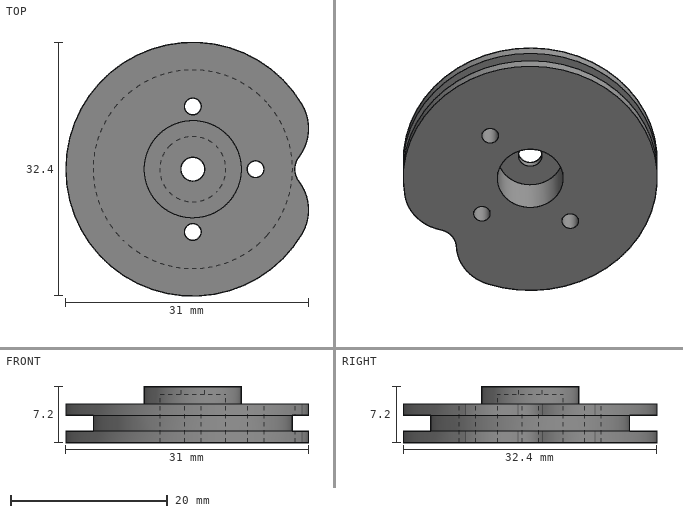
import cadquery as cq
import math

disk_radius = 16.2
flange_thickness = 1.5
groove_width = 2.0
total_height = 7.2
core_diameter = 25.4
hub_diameter = 12.4

lobe_radius = 6.0
lobe_angle = math.radians(30.6)
notch_depth_x = 13.02

bore_diameter = 3.0
pocket_diameter = 8.4
pocket_roof = 1.05
pin_hole_diameter = 2.1
pin_hole_offset = 8.0
pin_hole_angles = (-90, 0, 90)

body_height = 2 * flange_thickness + groove_width
pocket_depth = total_height - pocket_roof


def flange(base_z):
    """Disk whose +X side has two tangent lobes around a rounded notch."""
    lobe_distance = disk_radius - lobe_radius
    lobe_x = lobe_distance * math.cos(lobe_angle)
    lobe_y = lobe_distance * math.sin(lobe_angle)

    gap_x = notch_depth_x - lobe_x
    notch_radius = (gap_x**2 + lobe_y**2 - lobe_radius**2) / (2 * (lobe_radius - gap_x))
    notch_x = notch_depth_x + notch_radius

    rim_x = disk_radius * math.cos(lobe_angle)
    rim_y = disk_radius * math.sin(lobe_angle)
    blend = lobe_radius / (lobe_radius + notch_radius)
    blend_x = lobe_x + blend * (notch_x - lobe_x)
    blend_y = lobe_y * (1 - blend)
    lobe_tip_x = lobe_x + lobe_radius

    return (
        cq.Workplane("XY", origin=(0, 0, base_z))
        .moveTo(rim_x, rim_y)
        .threePointArc((-disk_radius, 0), (rim_x, -rim_y))
        .threePointArc((lobe_tip_x, -lobe_y), (blend_x, -blend_y))
        .threePointArc((notch_depth_x, 0), (blend_x, blend_y))
        .threePointArc((lobe_tip_x, lobe_y), (rim_x, rim_y))
        .close()
        .extrude(flange_thickness)
    )


def cylinder(diameter, height, x=0, y=0):
    """Upright cylinder standing on the bottom face plane."""
    return cq.Workplane("XY").center(x, y).circle(diameter / 2).extrude(height)


result = (
    cylinder(core_diameter, body_height)
    .union(flange(0))
    .union(flange(flange_thickness + groove_width))
    .union(cylinder(hub_diameter, total_height))
)

result = result.cut(cylinder(bore_diameter, total_height))
result = result.cut(cylinder(pocket_diameter, pocket_depth))

for angle_degrees in pin_hole_angles:
    angle = math.radians(angle_degrees)
    pin_x = pin_hole_offset * math.cos(angle)
    pin_y = pin_hole_offset * math.sin(angle)
    result = result.cut(cylinder(pin_hole_diameter, body_height, pin_x, pin_y))